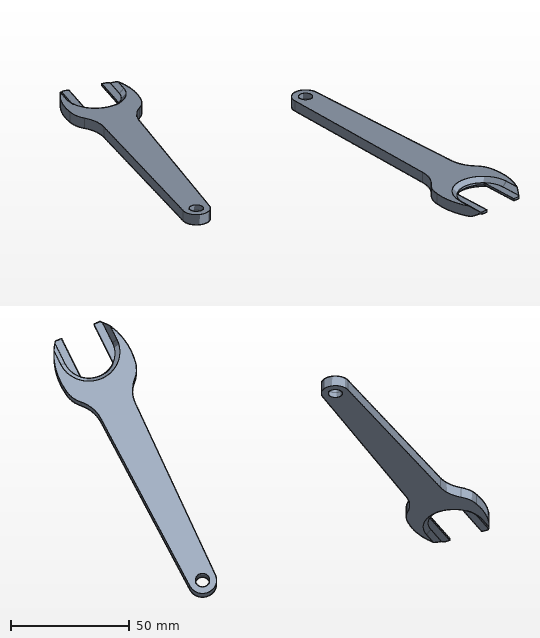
import cadquery as cq
import math

length = 130.0
thickness = 5.0
head_half_width = 16.45

handle_end_radius = 6.0
hole_diameter = 6.0
hole_x = length - handle_end_radius
handle_root = (40.4, 8.0)
handle_end = (hole_x, handle_end_radius)

flank_radius = 29.9
flank_peak_x = 18.0
flank_end_x = 22.4
blend_joint = (29.9, 12.6)

jaw_x = 11.0
lip_thickness = 1.0
slot_half_width = 7.5
recess_floor_radius = 11.0
recess_rim_radius = 13.1
recess_depth = (thickness - lip_thickness) / 2


def flank_point(x):
    """Point on the +Y flank arc of the head."""
    center_y = head_half_width - flank_radius
    return x, center_y + math.sqrt(flank_radius**2 - (x - flank_peak_x) ** 2)


def make_blank():
    """Flat wrench blank, centred on Z = 0."""
    tip = flank_point(0)
    flank_middle = flank_point(flank_end_x / 2)
    flank_end = flank_point(flank_end_x)
    upper = (
        cq.Workplane("XY")
        .moveTo(length, 0)
        .threePointArc(
            (hole_x + handle_end_radius * math.sqrt(0.5), handle_end_radius * math.sqrt(0.5)),
            handle_end,
        )
        .lineTo(*handle_root)
        .tangentArcPoint(blend_joint, relative=False)
        .tangentArcPoint(flank_end, relative=False)
        .threePointArc(flank_middle, tip)
        .lineTo(0, 0)
        .close()
        .extrude(thickness / 2, both=True)
    )
    return upper.union(upper.mirror("XZ")).clean()


def jaw_outline(z, radius):
    """Open-ended jaw outline at height z: a half circle with straight sides to the open end."""
    return (
        cq.Workplane("XY", origin=(0, 0, z))
        .moveTo(0, -radius)
        .lineTo(jaw_x, -radius)
        .threePointArc((jaw_x + radius, 0), (jaw_x, radius))
        .lineTo(0, radius)
        .close()
    )


def make_recess():
    """Bevelled recess of the top face, narrowing down to the lip."""
    rim = jaw_outline(thickness / 2, recess_rim_radius).wires().val()
    floor = jaw_outline(lip_thickness / 2, recess_floor_radius).wires().val()
    return cq.Workplane(cq.Solid.makeLoft([floor, rim], True))


def make_slot():
    """Straight slot through the lip, closed by the round end of the jaw."""
    jaw = jaw_outline(-thickness / 2, recess_floor_radius).extrude(thickness)
    return jaw.intersect(cq.Workplane("XY").box(length, 2 * slot_half_width, thickness))


recess = make_recess()
hole = cq.Workplane("XY").center(hole_x, 0).circle(hole_diameter / 2).extrude(thickness, both=True)

result = make_blank().cut(recess).cut(recess.mirror("XY")).cut(make_slot()).cut(hole)